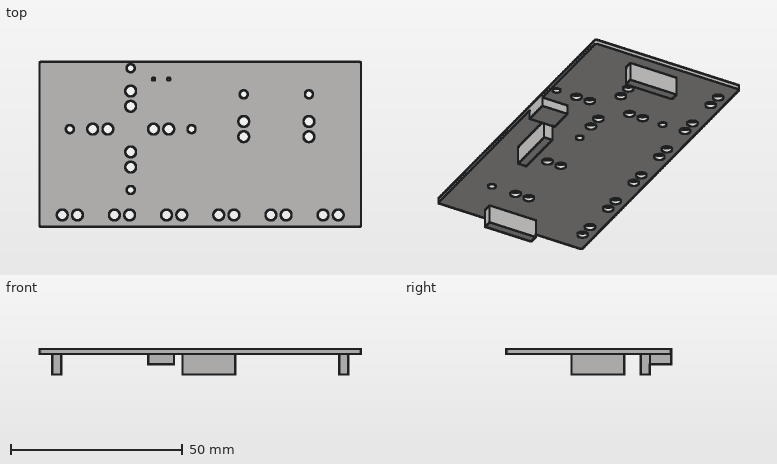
import cadquery as cq

BOARD_LENGTH = 93.98
BOARD_WIDTH = 48.26
BOARD_THICKNESS = 1.5
CORNER_RADIUS = 0.5

PAIR_SPACING = 4.445
PIN_HOLE_DIAMETER = 3.1
LOCATING_HOLE_DIAMETER = 2.3
LEAD_HOLE_DIAMETER = 0.9

ROW_COUNT = 6
ROW_PITCH = 15.24
ROW_Y = -20.64

CROSS_X = -20.32
CROSS_Y = PAIR_SPACING
CROSS_PAIR_RADIUS = 2 * PAIR_SPACING
CROSS_LOCATING_RADIUS = 4 * PAIR_SPACING
CROSS_DIRECTIONS = [(1, 0), (0, 1), (-1, 0), (0, -1)]

COLUMN_XS = [12.70, 31.75]
COLUMN_Y = CROSS_Y
COLUMN_LOCATING_OFFSET = 10.16

CONNECTOR_X = CROSS_X + CROSS_PAIR_RADIUS
CONNECTOR_LENGTH = 7.6
CONNECTOR_WIDTH = 8.4
CONNECTOR_HEIGHT = 3.0
LEAD_HOLE_Y = 19.05

HEADER_LENGTH = 15.5
HEADER_WIDTH = 2.7
HEADER_HEIGHT = 6.0
SIDE_HEADER_X = 41.91
SIDE_HEADER_Y = 2.67
BACK_HEADER_X = 2.54
BACK_HEADER_Y = 16.51


def pair_along_x(x, y):
    """Centres of two holes spaced along X about (x, y)."""
    return [(x - PAIR_SPACING / 2, y), (x + PAIR_SPACING / 2, y)]


def pair_along_y(x, y):
    """Centres of two holes spaced along Y about (x, y)."""
    return [(x, y - PAIR_SPACING / 2), (x, y + PAIR_SPACING / 2)]


def drill(board, points, diameter):
    """Drill through the board at each point."""
    drills = cq.Workplane("XY").pushPoints(points).circle(diameter / 2).extrude(BOARD_THICKNESS)
    return board.cut(drills)


def block_below(length, width, height, x, y):
    """Rectangular block centred on (x, y) with its top against the board underside."""
    return cq.Workplane("XY").center(x, y).rect(length, width).extrude(-height)


def hole_layout():
    """Centres of the pin holes and of the locating holes."""
    pin_holes = []
    locating_holes = []

    for index in range(ROW_COUNT):
        x = (index - (ROW_COUNT - 1) / 2) * ROW_PITCH
        pin_holes += pair_along_x(x, ROW_Y)

    for dx, dy in CROSS_DIRECTIONS:
        pair = pair_along_x if dx else pair_along_y
        pin_holes += pair(CROSS_X + dx * CROSS_PAIR_RADIUS, CROSS_Y + dy * CROSS_PAIR_RADIUS)
        locating_holes.append((CROSS_X + dx * CROSS_LOCATING_RADIUS, CROSS_Y + dy * CROSS_LOCATING_RADIUS))

    for x in COLUMN_XS:
        pin_holes += pair_along_y(x, COLUMN_Y)
        locating_holes.append((x, COLUMN_Y + COLUMN_LOCATING_OFFSET))

    return pin_holes, locating_holes


def make_board():
    """Drilled board with the connector block joined to its underside."""
    board = cq.Workplane("XY").rect(BOARD_LENGTH, BOARD_WIDTH).extrude(BOARD_THICKNESS)
    board = board.edges("|Z").fillet(CORNER_RADIUS)

    connector_y = (BOARD_WIDTH - CONNECTOR_WIDTH) / 2
    connector = block_below(CONNECTOR_LENGTH, CONNECTOR_WIDTH, CONNECTOR_HEIGHT, CONNECTOR_X, connector_y)
    board = board.union(connector)

    pin_holes, locating_holes = hole_layout()
    board = drill(board, pin_holes, PIN_HOLE_DIAMETER)
    board = drill(board, locating_holes, LOCATING_HOLE_DIAMETER)
    return drill(board, pair_along_x(CONNECTOR_X, LEAD_HOLE_Y), LEAD_HOLE_DIAMETER)


def make_headers():
    """One header along Y near each end of the board and one along X near the back edge."""
    headers = []
    for x in (-SIDE_HEADER_X, SIDE_HEADER_X):
        headers.append(block_below(HEADER_WIDTH, HEADER_LENGTH, HEADER_HEIGHT, x, SIDE_HEADER_Y))
    headers.append(block_below(HEADER_LENGTH, HEADER_WIDTH, HEADER_HEIGHT, BACK_HEADER_X, BACK_HEADER_Y))
    return headers


board = make_board()
headers = make_headers()

result = cq.Compound.makeCompound([board.val(), *[header.val() for header in headers]])